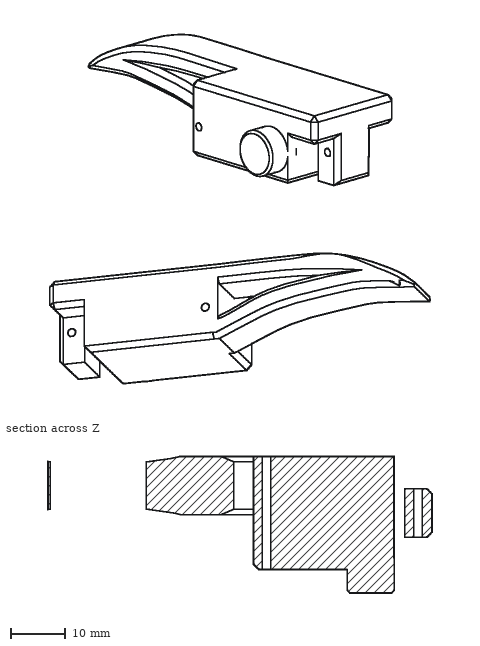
import cadquery as cq
import math

length = 70.7
chamfer = 1.0

block_left = 37.8
block_depth = 20.85
block_height = 14.5
body_right = 63.7

roof_underside = 9.05
foot_left = 65.6
foot_setback = 5.95
joint_overlap = 2.1

pin_diameter = 8.7
pin_length = 4.3
pin_chamfer = 0.5
pin_x = 59.4
axis_z = 6.0
hole_diameter = 1.5
hole_positions = [40.2, 68.1]

finger_depth = 10.75
finger_right = block_left + chamfer
far = 28.3
top_curve = [(-1.8, 5.1), (0, 6.85), (2.0, 8.5), (5.6, 10.5), (10.5, 12.6), (16.05, 13.85), (21.2, 14.5),
             (27.6, 14.6), (35.35, block_height), (block_left, block_height)]
bottom_curve = [(-1.8, 5.7), (0, 5.95), (3.95, 6.3), (10.5, 6.8), (16.9, 6.15), (22.9, 5.3), (28.85, 3.75),
                (35.7, 0.85), (block_left, 0)]
slit_top_curve = [(7.1, 8.35), (11.0, 9.2), (15.9, 9.9), (21.9, 10.45), (26.15, 10.6), (block_left, 10.6)]
slit_bottom_curve = [(7.1, 11.0), (12.6, 10.8), (21.2, 9.8), (25.9, 9.05), (30.3, 7.8), (35.7, 5.3),
                     (block_left, 4.45)]

fade_start = 2
fade_depths = [1.1, 1.05, 0.6, 0, 0.7, 1.1]
fade_strip = 1.4


def box(x0, x1, y0, y1, z0, z1):
    return cq.Workplane("XY").box(x1 - x0, y1 - y0, z1 - z0, centered=False).translate((x0, y0, z0))


def shifted(points, distance):
    """Move each point along the curve normal; a positive distance moves up."""
    moved = []
    for i, (x, z) in enumerate(points):
        x0, z0 = points[max(i - 1, 0)]
        x1, z1 = points[min(i + 1, len(points) - 1)]
        span = math.hypot(x1 - x0, z1 - z0)
        moved.append((x - distance * (z1 - z0) / span, z + distance * (x1 - x0) / span))
    return moved


def region_wire(points, y, far_z):
    """Outline between a curve, run on level into the block, and far_z, in the plane at y."""
    start, *_, end = points
    spline = cq.Edge.makeSpline([cq.Vector(x, y, z) for x, z in points])
    outline = (end, (finger_right, end[1]), (finger_right, far_z), (start[0], far_z), start)
    corners = [cq.Vector(x, y, z) for x, z in outline]
    sides = [cq.Edge.makeLine(a, b) for a, b in zip(corners, corners[1:])]
    return cq.Wire.assembleEdges([spline, *sides])


def region(points, far_z, edge_shift):
    """Solid on one side of a curve, its two long edges bevelled by edge_shift."""
    edge_points = shifted(points, edge_shift)
    front = -finger_depth
    sections = [
        region_wire(edge_points, front, far_z),
        region_wire(points, front + chamfer, far_z),
        region_wire(points, -chamfer, far_z),
        region_wire(edge_points, 0, far_z),
    ]
    return cq.Workplane(cq.Solid.makeLoft(sections, True))


def plain_region(points, far_z):
    wires = [region_wire(points, y, far_z) for y in (-finger_depth, 0)]
    return cq.Workplane(cq.Solid.makeLoft(wires, True))


def fade_fill():
    """Material that fills the back top chamfer where it fades out."""
    reach = 1.4
    curve_points = top_curve[fade_start - 1:fade_start + len(fade_depths) + 1]
    line = []
    for i, depth in enumerate(fade_depths):
        line.append(shifted(curve_points, -depth)[i + 1])
    upper = [cq.Vector(x, -reach, z + reach) for x, z in line]
    drop = cq.Vector(0, 0, -fade_strip)
    lower = [point + drop for point in upper]
    wire = cq.Wire.assembleEdges([
        cq.Edge.makeSpline(upper),
        cq.Edge.makeLine(upper[-1], lower[-1]),
        cq.Edge.makeSpline(lower[::-1]),
        cq.Edge.makeLine(lower[0], upper[0]),
    ])
    strip = cq.Workplane(cq.Solid.extrudeLinear(wire, [], cq.Vector(0, reach, -reach)))
    return strip.intersect(plain_region(top_curve, -far))


def make_finger():
    finger = region(top_curve, -far, -chamfer).intersect(region(bottom_curve, far, chamfer))
    finger = finger.intersect(box(0, finger_right, -finger_depth, 0, -far, far))
    slit = region(slit_top_curve, -far, chamfer).intersect(region(slit_bottom_curve, far, -chamfer))
    slit = slit.intersect(box(0, block_left, -finger_depth, 0, -far, far))
    return finger.cut(slit).union(fade_fill())


def make_block():
    body = box(block_left, body_right, -block_depth, 0, 0, block_height)
    body = body.edges("<X or |X or (>X and <Z)").chamfer(chamfer)
    roof = box(body_right - joint_overlap, length, -block_depth, 0, roof_underside, block_height)
    roof = roof.edges("|X or >X").chamfer(chamfer)
    foot = box(foot_left, length, foot_setback - block_depth, -foot_setback, 0, roof_underside + joint_overlap)
    foot = foot.edges(">X and (|Z or <Z)").chamfer(chamfer)
    return body.union(roof).union(foot)


def make_pin():
    front = cq.Workplane("XZ", origin=(pin_x, joint_overlap - block_depth, axis_z))
    pin = front.circle(pin_diameter / 2).extrude(pin_length + joint_overlap)
    return pin.faces("<Y").chamfer(pin_chamfer)


def make_cross_holes():
    plane = cq.Workplane("XZ").pushPoints([(x, axis_z) for x in hole_positions])
    return plane.circle(hole_diameter / 2).extrude(block_depth)


result = make_block().union(make_finger()).union(make_pin()).cut(make_cross_holes())